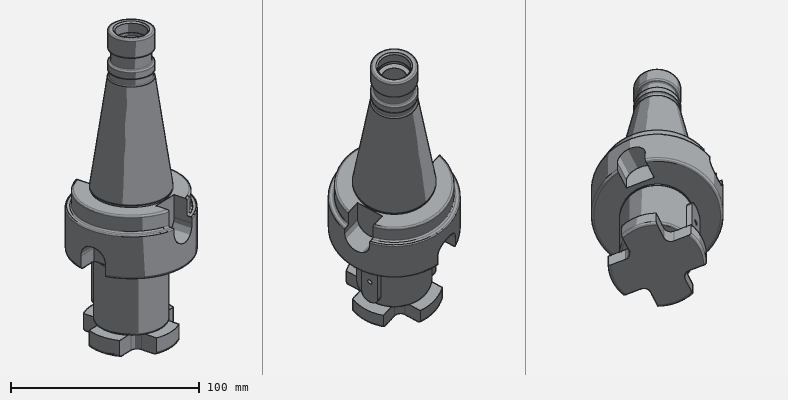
import cadquery as cq

TOTAL_HEIGHT = 182.4
CUTTER_REACH = 91.2

HEAD_RADIUS = 26.0
HEAD_HEIGHT = 10.0
LUG_WIDTH = 20.0
LUG_ROOT_FILLET = 4.0
HEAD_FILLET = 1.5

SPIGOT_RADIUS = 20.0
SPIGOT_FILLET = 1.1
SPIGOT_RELIEF_DEPTH = 0.5
SPIGOT_RELIEF_HEIGHT = 1.3
SPIGOT_RELIEF_RUNOUT = 1.1

KEY_WIDTH = 10.4
KEY_BOTTOM = 12.8
KEY_TOP = 45.0
KEY_REACH = 22.5
KEY_SEAT = 16.5
KEY_HOLE_DIAMETER = 2.7
KEY_HOLE_DEPTH = 2.7

FLANGE_RADIUS = 35.0
FLANGE_BOTTOM = 51.0
FLANGE_LEDGE = 77.3
FLANGE_BOTTOM_FILLET = 1.5
FLANGE_TOP_FILLET = 0.7
COLLAR_RADIUS = 31.7
COLLAR_TOP = 87.4
COLLAR_FILLET = 1.1
COLLAR_ROOT_FILLET = 1.0

SLOT_WIDTH = 16.0
SLOT_FLOOR = 22.3
UPPER_SLOT_BOTTOM = 65.8
LOWER_SLOT_TOP = 67.1

TAPER_RATIO = 7 / 24
TAPER_LARGE_RADIUS = 22.3
TAPER_BOTTOM = 89.2
TAPER_TOP = 154.5
TAPER_RELIEF_DEPTH = 0.5
TAPER_RELIEF_HEIGHT = 1.0
NECK_RADIUS = 11.9
RING_RADIUS = 12.5
RING_BOTTOM = 158.9
RING_TOP = 163.8
GROOVE_RADIUS = 11.0
END_RING_BOTTOM = 171.0
RING_FILLET = 1.0
ROOT_FILLET = 0.4

MOUTH_CHAMFER = 1.0
COUNTERBORE_RADIUS = 8.8
COUNTERBORE_DEPTH = 8.5
COUNTERBORE_RELIEF_DEPTH = 0.4
COUNTERBORE_RELIEF_HEIGHT = 2.2
BOLT_HOLE_RADIUS = 6.7
COUNTERBORE_FLOOR_DROP = 1.0
BOLT_HOLE_DEPTH = 30.0
DRILL_POINT_HEIGHT = 3.8


def turned_body():
    """Spigot, flange, taper and end rings as one revolved outline."""
    taper_small_radius = TAPER_LARGE_RADIUS - (TAPER_TOP - TAPER_BOTTOM) * TAPER_RATIO / 2
    spigot_relief_radius = SPIGOT_RADIUS - SPIGOT_RELIEF_DEPTH
    taper_relief_radius = TAPER_LARGE_RADIUS - TAPER_RELIEF_DEPTH
    outline = (
        cq.Workplane("XZ")
        .moveTo(0, HEAD_HEIGHT)
        .lineTo(SPIGOT_RADIUS - SPIGOT_FILLET, HEAD_HEIGHT)
        .radiusArc((SPIGOT_RADIUS, HEAD_HEIGHT + SPIGOT_FILLET), -SPIGOT_FILLET)
        .lineTo(SPIGOT_RADIUS, FLANGE_BOTTOM - SPIGOT_RELIEF_HEIGHT - SPIGOT_RELIEF_RUNOUT)
        .lineTo(spigot_relief_radius, FLANGE_BOTTOM - SPIGOT_RELIEF_HEIGHT)
        .lineTo(spigot_relief_radius, FLANGE_BOTTOM)
        .lineTo(FLANGE_RADIUS - FLANGE_BOTTOM_FILLET, FLANGE_BOTTOM)
        .radiusArc((FLANGE_RADIUS, FLANGE_BOTTOM + FLANGE_BOTTOM_FILLET), -FLANGE_BOTTOM_FILLET)
        .lineTo(FLANGE_RADIUS, FLANGE_LEDGE - FLANGE_TOP_FILLET)
        .radiusArc((FLANGE_RADIUS - FLANGE_TOP_FILLET, FLANGE_LEDGE), -FLANGE_TOP_FILLET)
        .lineTo(COLLAR_RADIUS + COLLAR_ROOT_FILLET, FLANGE_LEDGE)
        .radiusArc((COLLAR_RADIUS, FLANGE_LEDGE + COLLAR_ROOT_FILLET), COLLAR_ROOT_FILLET)
        .lineTo(COLLAR_RADIUS, COLLAR_TOP - COLLAR_FILLET)
        .radiusArc((COLLAR_RADIUS - COLLAR_FILLET, COLLAR_TOP), -COLLAR_FILLET)
        .lineTo(taper_relief_radius, COLLAR_TOP)
        .lineTo(taper_relief_radius, COLLAR_TOP + TAPER_RELIEF_HEIGHT)
        .lineTo(TAPER_LARGE_RADIUS, COLLAR_TOP + TAPER_RELIEF_HEIGHT + TAPER_RELIEF_DEPTH)
        .lineTo(TAPER_LARGE_RADIUS, TAPER_BOTTOM)
        .lineTo(taper_small_radius, TAPER_TOP)
        .lineTo(NECK_RADIUS + ROOT_FILLET, TAPER_TOP)
        .radiusArc((NECK_RADIUS, TAPER_TOP + ROOT_FILLET), ROOT_FILLET)
        .lineTo(NECK_RADIUS, RING_BOTTOM - ROOT_FILLET)
        .radiusArc((NECK_RADIUS + ROOT_FILLET, RING_BOTTOM), ROOT_FILLET)
        .lineTo(RING_RADIUS, RING_BOTTOM)
        .lineTo(RING_RADIUS, RING_TOP - RING_FILLET)
        .radiusArc((RING_RADIUS - RING_FILLET, RING_TOP), -RING_FILLET)
        .lineTo(GROOVE_RADIUS + ROOT_FILLET, RING_TOP)
        .radiusArc((GROOVE_RADIUS, RING_TOP + ROOT_FILLET), ROOT_FILLET)
        .lineTo(GROOVE_RADIUS, END_RING_BOTTOM - ROOT_FILLET)
        .radiusArc((GROOVE_RADIUS + ROOT_FILLET, END_RING_BOTTOM), ROOT_FILLET)
        .lineTo(RING_RADIUS - RING_FILLET, END_RING_BOTTOM)
        .radiusArc((RING_RADIUS, END_RING_BOTTOM + RING_FILLET), -RING_FILLET)
        .lineTo(RING_RADIUS, TOTAL_HEIGHT - RING_FILLET)
        .radiusArc((RING_RADIUS - RING_FILLET, TOTAL_HEIGHT), -RING_FILLET)
        .lineTo(0, TOTAL_HEIGHT)
        .close()
    )
    return outline.revolve(360, (0, 0, 0), (0, 1, 0))


def screw_head():
    """Cross of four lugs, trimmed to a disc with a rounded lower rim."""
    bar_length = 2 * CUTTER_REACH
    bar_x = cq.Workplane("XY").rect(bar_length, LUG_WIDTH).extrude(HEAD_HEIGHT)
    bar_y = cq.Workplane("XY").rect(LUG_WIDTH, bar_length).extrude(HEAD_HEIGHT)
    box = cq.selectors.BoxSelector((-LUG_WIDTH, -LUG_WIDTH, 0), (LUG_WIDTH, LUG_WIDTH, HEAD_HEIGHT))
    cross = bar_x.union(bar_y).edges("|Z").edges(box).fillet(LUG_ROOT_FILLET)
    disc = cq.Workplane("XY").circle(HEAD_RADIUS).extrude(HEAD_HEIGHT).edges("<Z").fillet(HEAD_FILLET)
    return cross.intersect(disc)


def key():
    """Round-ended key standing out of the spigot towards -X."""
    middle = (KEY_BOTTOM + KEY_TOP) / 2
    bar = (
        cq.Workplane("YZ", origin=(-KEY_REACH, 0, middle))
        .slot2D(KEY_TOP - KEY_BOTTOM, KEY_WIDTH, 90)
        .extrude(KEY_REACH - KEY_SEAT)
    )
    hole = (
        cq.Workplane("YZ", origin=(-KEY_REACH, 0, middle))
        .circle(KEY_HOLE_DIAMETER / 2)
        .extrude(KEY_HOLE_DEPTH)
    )
    return bar.cut(hole)


def round_ended_slot(round_end, open_end):
    """Radial cutter on the +X side, closed by a half round at one Z and open at the other."""
    radius = SLOT_WIDTH / 2
    direction = 1 if open_end > round_end else -1
    centre = round_end + direction * radius
    return (
        cq.Workplane("YZ", origin=(SLOT_FLOOR, 0, 0))
        .moveTo(-radius, open_end)
        .lineTo(-radius, centre)
        .threePointArc((0, round_end), (radius, centre))
        .lineTo(radius, open_end)
        .close()
        .extrude(CUTTER_REACH)
    )


def draw_bolt_hole():
    """Stepped blind hole with a chamfered mouth and a conical bottom."""
    counterbore_floor = TOTAL_HEIGHT - COUNTERBORE_DEPTH
    relief_top = counterbore_floor + COUNTERBORE_RELIEF_HEIGHT
    relief_radius = COUNTERBORE_RADIUS + COUNTERBORE_RELIEF_DEPTH
    hole_bottom = TOTAL_HEIGHT - BOLT_HOLE_DEPTH
    return (
        cq.Workplane("XZ")
        .moveTo(0, TOTAL_HEIGHT)
        .lineTo(COUNTERBORE_RADIUS + MOUTH_CHAMFER, TOTAL_HEIGHT)
        .lineTo(COUNTERBORE_RADIUS, TOTAL_HEIGHT - MOUTH_CHAMFER)
        .lineTo(COUNTERBORE_RADIUS, relief_top)
        .lineTo(relief_radius, relief_top - COUNTERBORE_RELIEF_DEPTH)
        .lineTo(relief_radius, counterbore_floor)
        .lineTo(BOLT_HOLE_RADIUS, counterbore_floor - COUNTERBORE_FLOOR_DROP)
        .lineTo(BOLT_HOLE_RADIUS, hole_bottom)
        .lineTo(0, hole_bottom - DRILL_POINT_HEIGHT)
        .close()
        .revolve(360, (0, 0, 0), (0, 1, 0))
    )


body = turned_body().cut(draw_bolt_hole())

upper_slot = round_ended_slot(UPPER_SLOT_BOTTOM, COLLAR_TOP)
lower_slot = round_ended_slot(LOWER_SLOT_TOP, FLANGE_BOTTOM)
for angle in (0, 180):
    body = body.cut(upper_slot.rotate((0, 0, 0), (0, 0, 1), angle))
    body = body.cut(lower_slot.rotate((0, 0, 0), (0, 0, 1), angle + 90))

result = body.union(screw_head()).union(key())